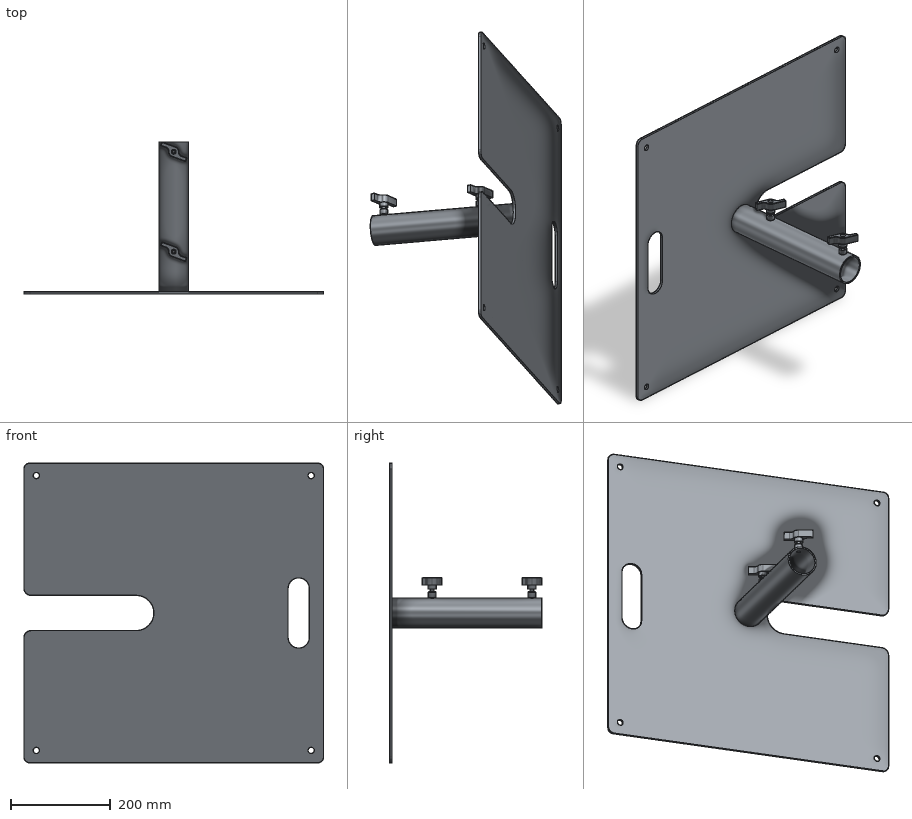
import cadquery as cq
import math

plate_size = 600.0
plate_thickness = 5.0
plate_corner_radius = 12.0
corner_hole_diameter = 12.0
corner_hole_inset = 25.0
mouth_width = 70.0
mouth_end_x = -40.0
mouth_corner_radius = 15.0
handle_length = 140.0
handle_width = 42.0
handle_x = 250.0

tube_length = 300.0
tube_outer_radius = 30.0
tube_wall = 3.0
tube_bore_radius = tube_outer_radius - tube_wall

screw_end_distance = 20.0
screw_spacing = 200.0
screw_count = 2
screw_positions = [tube_length - screw_end_distance - i * screw_spacing for i in range(screw_count)]

boss_radius = 8.0
boss_chamfer = 2.0
boss_bottom_z = 29.2
boss_top_z = 43.0

stem_radius = 4.0
collar_radius = 8.5
collar_bottom_z = 47.5
wing_bottom_z = 55.5
wing_height = 15.0
wing_edge_chamfer = 1.0
hub_radius = 10.5
hub_dimple_radius = 5.0
hub_dimple_floor_radius = 2.5
arm_reach = 29.0
arm_thickness = 8.0
arm_offset = hub_radius - arm_thickness / 2
arm_root_fillet = 9.0
wing_angle = -20.0


def cylinder_up(radius, bottom_z, top_z):
    """Cylinder on the Z axis between two heights."""
    return cq.Workplane("XY").workplane(offset=bottom_z).circle(radius).extrude(top_z - bottom_z)


def plate_prism(sketch):
    """Extrude an XZ outline through the plate thickness, towards -Y."""
    return sketch.extrude(plate_thickness)


def make_plate():
    half = plate_size / 2
    plate = plate_prism(cq.Workplane("XZ").rect(plate_size, plate_size))
    plate = plate.edges("|Y").fillet(plate_corner_radius)

    mouth_radius = mouth_width / 2
    mouth_straight_end = mouth_end_x - mouth_radius
    mouth = plate_prism(
        cq.Workplane("XZ")
        .moveTo(-half, mouth_radius)
        .lineTo(mouth_straight_end, mouth_radius)
        .threePointArc((mouth_end_x, 0), (mouth_straight_end, -mouth_radius))
        .lineTo(-half, -mouth_radius)
        .close()
    )
    plate = plate.cut(mouth)
    mouth_lips = cq.selectors.BoxSelector(
        (-half - mouth_radius, -plate_thickness, -mouth_width), (-half + mouth_radius, 0, mouth_width)
    )
    plate = plate.edges("|Y").edges(mouth_lips).fillet(mouth_corner_radius)

    handle = plate_prism(cq.Workplane("XZ").center(handle_x, 0).slot2D(handle_length, handle_width, 90))
    hole_pitch = plate_size - 2 * corner_hole_inset
    holes = plate_prism(
        cq.Workplane("XZ")
        .rect(hole_pitch, hole_pitch, forConstruction=True)
        .vertices()
        .circle(corner_hole_diameter / 2)
    )
    return plate.cut(handle).cut(holes)


def make_tube():
    tube = cq.Workplane("XZ").circle(tube_outer_radius).circle(tube_bore_radius).extrude(-tube_length)
    for y in screw_positions:
        tube = tube.cut(cylinder_up(stem_radius, 0, tube_outer_radius).translate((0, y, 0)))
    return tube


def make_boss(y):
    """Chamfered round boss, bored for the stem and seated on the sleeve."""
    boss = cylinder_up(boss_radius, boss_bottom_z, boss_top_z).faces("<Z or >Z").edges().chamfer(boss_chamfer)
    boss = boss.rotate((0, 0, 0), (0, 0, 1), 90)
    sleeve = cq.Workplane("XZ").circle(tube_outer_radius).extrude(tube_length, both=True)
    bore = cylinder_up(stem_radius, 0, boss_top_z)
    return boss.cut(sleeve).cut(bore).translate((0, y, 0))


def make_wing():
    """Round hub with two opposite arms, each tangent to one side of the hub."""
    wing = cq.Workplane("XY").circle(hub_radius).extrude(wing_height)
    for side in (-1, 1):
        arm = (
            cq.Workplane("XY")
            .center(side * arm_reach / 2, -side * arm_offset)
            .rect(arm_reach, arm_thickness)
            .extrude(wing_height)
        )
        wing = wing.union(arm)
    inner_y = arm_offset - arm_thickness / 2
    root_x = math.sqrt(hub_radius**2 - inner_y**2)
    for side in (-1, 1):
        root = cq.selectors.NearestToPointSelector((side * root_x, -side * inner_y, wing_height / 2))
        wing = wing.edges("|Z").edges(root).fillet(arm_root_fillet)
    wing = wing.faces(">Z").edges().chamfer(wing_edge_chamfer)

    dimple_depth = hub_dimple_radius - hub_dimple_floor_radius
    dimple = (
        cq.Workplane("XY")
        .workplane(offset=wing_height - dimple_depth)
        .circle(hub_dimple_floor_radius)
        .workplane(offset=dimple_depth)
        .circle(hub_dimple_radius)
        .loft()
    )
    return wing.cut(dimple)


def make_screw(y):
    wing = make_wing().rotate((0, 0, 0), (0, 0, 1), wing_angle).translate((0, 0, wing_bottom_z))
    collar = cylinder_up(collar_radius, collar_bottom_z, wing_bottom_z)
    stem = cylinder_up(stem_radius, tube_bore_radius, collar_bottom_z)
    return wing.union(collar).union(stem).translate((0, y, 0))


plate = make_plate()
tube = make_tube()
bosses = [make_boss(y) for y in screw_positions]
screws = [make_screw(y) for y in screw_positions]

result = cq.Compound.makeCompound(
    [plate.val(), tube.val()] + [boss.val() for boss in bosses] + [screw.val() for screw in screws]
)